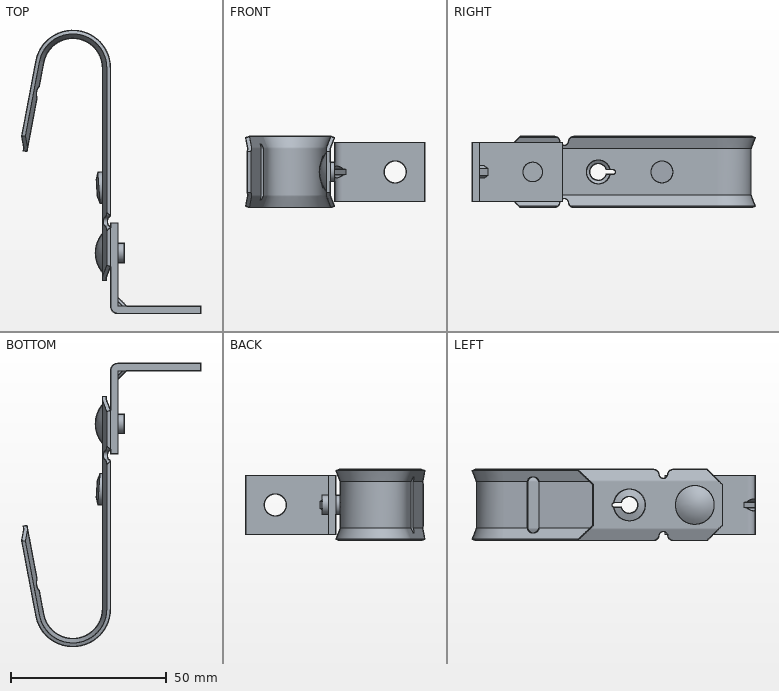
import cadquery as cq
import math

BRACKET_LEG = 29.15
BRACKET_FOOT = 29.1
BRACKET_THICKNESS = 2.5
BRACKET_WIDTH = 19.0
HOLE_FROM_CORNER = 19.5
MOUNT_HOLE_DIAMETER = 7.0

GROOVE_PROFILE = [(0.9, 2.0), (1.9, 1.0), (2.55, 0.8)]
RIB_PROFILE = [(2.7, 2.0), (4.5, 2.0), (5.4, 1.1)]
BEAD_REACH = 9.1

HOOK_TOP = 91.1
HOOK_RADIUS = 12.1
HOOK_WIDTH = 23.0
SHEET = 1.3
WEB_HALF_WIDTH = 7.5
FLARE_ANGLE = math.radians(21)
ARM_END_Y = 10.7
TIP_TILT = 10.7
TIP_LENGTH = 29.15
END_CORNER = 4.9

NOTCH_Y = 29.6
NOTCH_RADIUS = 1.4
NOTCH_MOUTH_RADIUS = 1.9
NOTCH_HALF_SPACING = 8.6
ARM_HOLE_Y = 61.0
ARM_HOLE_DIAMETER = 7.0
SLOT_FROM_BEND = 9.7
SLOT_WIDTH = 3.8
SLOT_LENGTH = 18.0

BOSS_Y = 40.5
BOSS_DIAMETER = 10.2
BOSS_RIM_HEIGHT = 1.1
BOSS_CONE_HEIGHT = 0.7
BOSS_TILT = 4.0
BOSS_HOLE_DIAMETER = 5.4
BOSS_SLIT_WIDTH = 1.5
BOSS_SLIT_REACH = 5.6

SHANK_DIAMETER = 6.3
SHANK_END_X = 4.5
HEAD_DIAMETER = 12.5
HEAD_HEIGHT = 2.3

BEND_X = -HOOK_RADIUS
BEND_Y = HOOK_TOP - HOOK_RADIUS
FLANGE_RISE = HOOK_WIDTH / 2 - WEB_HALF_WIDTH - SHEET * math.sin(FLARE_ANGLE)
WEB_OUTER_RADIUS = HOOK_RADIUS - FLANGE_RISE * math.tan(FLARE_ANGLE)
WEB_INNER_RADIUS = WEB_OUTER_RADIUS - SHEET
WEB_FACE_X = BEND_X + WEB_INNER_RADIUS
ARM_LENGTH = BEND_Y - ARM_END_Y
CUT_DEPTH = 4 * HOOK_RADIUS


def x_cylinder(diameter, y, start_x, length):
    """Cylinder along +X at height Z = 0."""
    return cq.Workplane("YZ", origin=(start_x, y, 0)).circle(diameter / 2).extrude(length)


def corner_bead(profile):
    """Symmetric profile swept across the bracket's corner, square to its diagonal."""
    outline = profile + [(s, -half) for s, half in reversed(profile)]
    across_corner = cq.Plane(origin=(0, 0, 0), xDir=(1, 1, 0), normal=(1, -1, 0))
    return cq.Workplane(across_corner).polyline(outline).close().extrude(BEAD_REACH, both=True)


def make_bracket():
    t = BRACKET_THICKNESS
    bracket = (
        cq.Workplane("XY", origin=(0, 0, -BRACKET_WIDTH / 2))
        .moveTo(t, 0)
        .lineTo(BRACKET_FOOT, 0)
        .lineTo(BRACKET_FOOT, t)
        .lineTo(t, t)
        .lineTo(t, BRACKET_LEG)
        .lineTo(0, BRACKET_LEG)
        .lineTo(0, t)
        .radiusArc((t, 0), -t)
        .close()
        .extrude(BRACKET_WIDTH)
    )
    inside_corner = cq.Workplane("XY").box(
        BRACKET_FOOT, BRACKET_LEG, BRACKET_WIDTH, centered=(False, False, True)
    ).translate((t / 2, t / 2, 0))
    bracket = bracket.union(corner_bead(RIB_PROFILE).intersect(inside_corner))
    bracket = bracket.cut(corner_bead(GROOVE_PROFILE))
    mount_hole = (
        cq.Workplane("XZ", origin=(HOLE_FROM_CORNER, t, 0)).circle(MOUNT_HOLE_DIAMETER / 2).extrude(t)
    )
    return bracket.cut(mount_hole).cut(x_cylinder(SHANK_DIAMETER, HOLE_FROM_CORNER, 0, t))


def strip_section():
    """Flanged cross section in X and Z at the end of the bend; sharp outside, rounded inside."""
    half = WEB_HALF_WIDTH
    sin_a, cos_a = math.sin(FLARE_ANGLE), math.cos(FLARE_ANGLE)
    half_sin, half_cos = math.sin(FLARE_ANGLE / 2), math.cos(FLARE_ANGLE / 2)
    outer, inner = BEND_X + WEB_OUTER_RADIUS, BEND_X + WEB_INNER_RADIUS
    tip_x, tip_z = BEND_X + HOOK_RADIUS, half + FLANGE_RISE
    inner_tip = (tip_x - SHEET * cos_a, tip_z + SHEET * sin_a)
    arc_middle = (outer - SHEET * half_cos, half + SHEET * half_sin)
    arc_end = (outer - SHEET * cos_a, half + SHEET * sin_a)

    def below(point):
        return (point[0], -point[1])

    return (
        cq.Workplane("XZ", origin=(0, BEND_Y, 0))
        .moveTo(inner, half)
        .threePointArc(arc_middle, arc_end)
        .lineTo(*inner_tip)
        .lineTo(tip_x, tip_z)
        .lineTo(outer, half)
        .lineTo(outer, -half)
        .lineTo(tip_x, -tip_z)
        .lineTo(*below(inner_tip))
        .lineTo(*below(arc_end))
        .threePointArc(below(arc_middle), (inner, -half))
        .close()
    )


def straight_strip(length):
    """Straight strip running from the bend toward -Y, its two end corners cut at 45 degrees."""
    end_y = BEND_Y - length
    edge = HOOK_WIDTH / 2
    strip = strip_section().extrude(length)
    for side in (1, -1):
        corner = (
            cq.Workplane("YZ", origin=(-CUT_DEPTH / 2, 0, 0))
            .polyline([
                (end_y, side * edge),
                (end_y + END_CORNER, side * edge),
                (end_y, side * (edge - END_CORNER)),
            ])
            .close()
            .extrude(CUT_DEPTH)
        )
        strip = strip.cut(corner)
    return strip


def edge_notch(side):
    """Round-bottomed notch through one flange; its mouth arcs run tangent into the bottom arc."""
    edge = HOOK_WIDTH / 2
    r, mouth = NOTCH_RADIUS, NOTCH_MOUTH_RADIUS
    bottom_center = NOTCH_HALF_SPACING + r
    center_rise = edge - mouth - bottom_center
    mouth_y = math.sqrt((r + mouth) ** 2 - center_rise ** 2)
    tangent_y = mouth_y * r / (r + mouth)
    tangent_z = side * (bottom_center + center_rise * r / (r + mouth))
    return (
        cq.Workplane("YZ", origin=(-CUT_DEPTH / 2, NOTCH_Y, 0))
        .moveTo(-mouth_y, side * edge)
        .radiusArc((-tangent_y, tangent_z), side * mouth)
        .threePointArc((0, side * NOTCH_HALF_SPACING), (tangent_y, tangent_z))
        .radiusArc((mouth_y, side * edge), side * mouth)
        .close()
        .extrude(CUT_DEPTH)
    )


def leaning_disc(radius, base_depth, rim_height):
    """Cone-topped disc centred on the boss, leaning so that its +Y side stands higher."""
    hole_radius = BOSS_HOLE_DIAMETER / 2
    disc = (
        cq.Workplane("XY")
        .polyline([
            (base_depth, 0),
            (base_depth, radius),
            (-rim_height, radius),
            (-rim_height - BOSS_CONE_HEIGHT, hole_radius),
            (-rim_height - BOSS_CONE_HEIGHT, 0),
        ])
        .close()
        .revolve(360, (0, 0, 0), (1, 0, 0))
    )
    return disc.rotate((0, 0, 0), (0, 0, 1), BOSS_TILT).translate((WEB_FACE_X, BOSS_Y, 0))


def thread_boss():
    """Boss pressed up out of the web."""
    return leaning_disc(BOSS_DIAMETER / 2, SHEET / 2, BOSS_RIM_HEIGHT)


def boss_hollow():
    """Hollow behind the boss, one sheet thickness inside it."""
    return leaning_disc(BOSS_DIAMETER / 2 - SHEET, 2 * SHEET, BOSS_RIM_HEIGHT - SHEET)


def boss_opening():
    """Round hole through the boss with a round-ended slit toward +Y."""
    slit_end = BOSS_Y + BOSS_SLIT_REACH - BOSS_SLIT_WIDTH / 2
    start_x = -CUT_DEPTH / 2
    hole = x_cylinder(BOSS_HOLE_DIAMETER, BOSS_Y, start_x, CUT_DEPTH)
    slit = cq.Workplane("XY").box(
        CUT_DEPTH, slit_end - BOSS_Y, BOSS_SLIT_WIDTH, centered=(True, False, True)
    ).translate((0, BOSS_Y, 0))
    return hole.union(slit).union(x_cylinder(BOSS_SLIT_WIDTH, slit_end, start_x, CUT_DEPTH))


def make_arm():
    arm = straight_strip(ARM_LENGTH)
    for side in (1, -1):
        arm = arm.cut(edge_notch(side))
    arm = arm.union(thread_boss()).cut(boss_hollow()).cut(boss_opening())
    holes = ((ARM_HOLE_DIAMETER, ARM_HOLE_Y), (SHANK_DIAMETER, HOLE_FROM_CORNER))
    for diameter, y in holes:
        arm = arm.cut(x_cylinder(diameter, y, -CUT_DEPTH / 2, CUT_DEPTH))
    return arm


def make_tip():
    """Free end: a slotted strip turned to the far side of the bend and tilted outward."""
    slot = (
        cq.Workplane("YZ", origin=(-CUT_DEPTH / 2, BEND_Y - SLOT_FROM_BEND, 0))
        .slot2D(SLOT_LENGTH, SLOT_WIDTH, 90)
        .extrude(CUT_DEPTH)
    )
    tip = straight_strip(TIP_LENGTH).cut(slot)
    axis_bottom, axis_top = (BEND_X, BEND_Y, 0), (BEND_X, BEND_Y, 1)
    far_side = tip.mirror("YZ", (BEND_X, 0, 0))
    return far_side.rotate(axis_bottom, axis_top, -TIP_TILT)


def make_hook():
    bend = strip_section().revolve(180 - TIP_TILT, (BEND_X, 0, 0), (BEND_X, 1, 0))
    return make_arm().union(bend).union(make_tip())


def make_rivet():
    """Domed head seated on the web, shank passing through hook and bracket."""
    head_radius = HEAD_DIAMETER / 2
    dome_radius = (head_radius ** 2 + HEAD_HEIGHT ** 2) / (2 * HEAD_HEIGHT)
    shank_radius = SHANK_DIAMETER / 2
    profile = (
        cq.Workplane("XY", origin=(0, HOLE_FROM_CORNER, 0))
        .moveTo(WEB_FACE_X - HEAD_HEIGHT, 0)
        .radiusArc((WEB_FACE_X, head_radius), dome_radius)
        .lineTo(WEB_FACE_X, shank_radius)
        .lineTo(SHANK_END_X, shank_radius)
        .lineTo(SHANK_END_X, 0)
        .close()
    )
    return profile.revolve(360, (0, 0, 0), (1, 0, 0))


bracket = make_bracket()
hook = make_hook()
rivet = make_rivet()
result = cq.Compound.makeCompound([bracket.solids().val(), hook.solids().val(), rivet.val()])